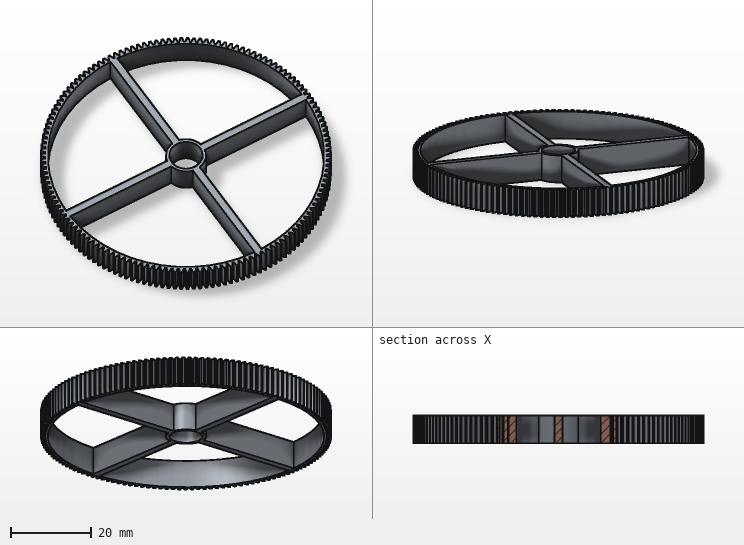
import cadquery as cq
import math

outer_diameter = 72.5
tooth_count = 143
pressure_angle = math.radians(20.0)
gear_width = 7.0
rim_inner_diameter = 69.0
hub_diameter = 10.0
bore_diameter = 8.3
spoke_width = 2.0
spoke_count = 4

addendum_factor = 1.0
dedendum_factor = 1.25

module = outer_diameter / (tooth_count + 2 * addendum_factor)
pitch_radius = module * tooth_count / 2
tip_radius = outer_diameter / 2
root_radius = pitch_radius - dedendum_factor * module
base_radius = pitch_radius * math.cos(pressure_angle)
tooth_pitch_angle = 2 * math.pi / tooth_count
first_tooth_angle = math.pi / 2


def polar_point(radius, angle):
    return (radius * math.cos(angle), radius * math.sin(angle))


def involute_angle(roll_pressure_angle):
    return math.tan(roll_pressure_angle) - roll_pressure_angle


def tooth_half_angle(radius):
    """Half of the angle an involute tooth spans at the given radius."""
    local_pressure_angle = math.acos(base_radius / radius)
    half_angle_at_pitch = tooth_pitch_angle / 4
    return half_angle_at_pitch + involute_angle(pressure_angle) - involute_angle(local_pressure_angle)


def make_gear_blank():
    """Solid disc with involute teeth; each flank is an arc through three involute points."""
    flank_radii = (root_radius, pitch_radius, tip_radius)
    root_half, pitch_half, tip_half = [tooth_half_angle(radius) for radius in flank_radii]

    outline = cq.Workplane("XY").moveTo(*polar_point(root_radius, first_tooth_angle - root_half))
    for tooth in range(tooth_count):
        center = first_tooth_angle + tooth * tooth_pitch_angle
        next_center = center + tooth_pitch_angle
        outline = outline.threePointArc(
            polar_point(pitch_radius, center - pitch_half),
            polar_point(tip_radius, center - tip_half),
        )
        outline = outline.threePointArc(
            polar_point(tip_radius, center),
            polar_point(tip_radius, center + tip_half),
        )
        outline = outline.threePointArc(
            polar_point(pitch_radius, center + pitch_half),
            polar_point(root_radius, center + root_half),
        )
        if tooth < tooth_count - 1:
            outline = outline.threePointArc(
                polar_point(root_radius, center + tooth_pitch_angle / 2),
                polar_point(root_radius, next_center - root_half),
            )
    return outline.close().extrude(gear_width)


def make_rim():
    opening = cq.Workplane("XY").circle(rim_inner_diameter / 2).extrude(gear_width)
    return make_gear_blank().cut(opening)


def make_spokes():
    """Radial bars from the axis to the middle of the rim wall."""
    spoke_length = (rim_inner_diameter / 2 + root_radius) / 2
    spoke = cq.Workplane("XY").box(spoke_length, spoke_width, gear_width, centered=(False, True, False))
    spokes = spoke
    for index in range(1, spoke_count):
        spokes = spokes.union(spoke.rotate((0, 0, 0), (0, 0, 1), index * 360 / spoke_count))
    return spokes


hub = cq.Workplane("XY").circle(hub_diameter / 2).extrude(gear_width)
bore = cq.Workplane("XY").circle(bore_diameter / 2).extrude(gear_width)

result = make_rim().union(make_spokes()).union(hub).cut(bore)